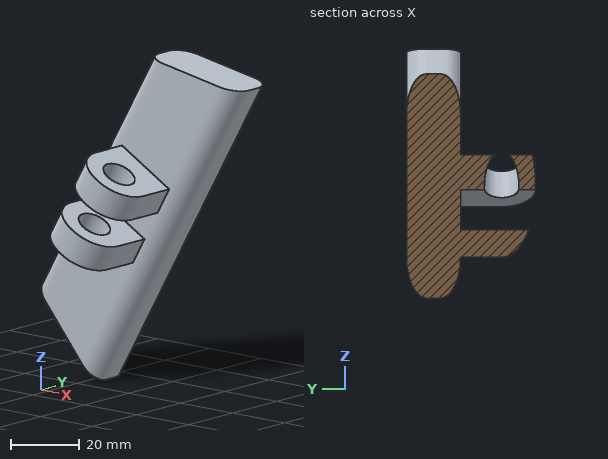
import cadquery as cq
import math

bar_width = 33.0
bar_thickness = 16.0
bar_mid_length = 98.12
end_cut_angle = 20.0
edge_radius = 6.0
tilt_from_vertical = 30.0

lug_width = bar_width - 2 * edge_radius
lug_thickness = 9.0
lug_gap = 10.0
lug_reach = 22.0
lug_corner_radius = 10.0
pin_hole_diameter = 10.0
pin_hole_distance = lug_reach - lug_corner_radius
lug_root_depth = 1.0

front_face_y = -bar_thickness / 2


def make_bar():
    """Flat bar with opposed sloping ends and rounded long edges."""
    half_width = bar_width / 2
    end_rise = half_width * math.tan(math.radians(end_cut_angle))
    short_half = bar_mid_length / 2 - end_rise
    long_half = bar_mid_length / 2 + end_rise
    outline = [
        (-half_width, -short_half),
        (half_width, -long_half),
        (half_width, long_half),
        (-half_width, short_half),
    ]
    bar = cq.Workplane("XZ").polyline(outline).close().extrude(bar_thickness / 2, both=True)
    return bar.edges("|Z").fillet(edge_radius)


def make_lug(center_z):
    """Lug with two rounded tip corners and a pin hole along Z."""
    root_y = front_face_y + lug_root_depth
    tip_y = front_face_y - lug_reach
    lug = (
        cq.Workplane("XY")
        .box(lug_width, root_y - tip_y, lug_thickness)
        .translate((0, (root_y + tip_y) / 2, center_z))
        .edges("|Z and <Y")
        .fillet(lug_corner_radius)
    )
    pin_hole = (
        cq.Workplane("XY")
        .center(0, front_face_y - pin_hole_distance)
        .circle(pin_hole_diameter / 2)
        .extrude(lug_thickness / 2, both=True)
        .translate((0, 0, center_z))
    )
    return lug.cut(pin_hole)


lug_offset = (lug_gap + lug_thickness) / 2

part = make_bar()
for side in (-1, 1):
    part = part.union(make_lug(side * lug_offset))

result = part.rotate((0, 0, 0), (0, 1, 0), tilt_from_vertical)